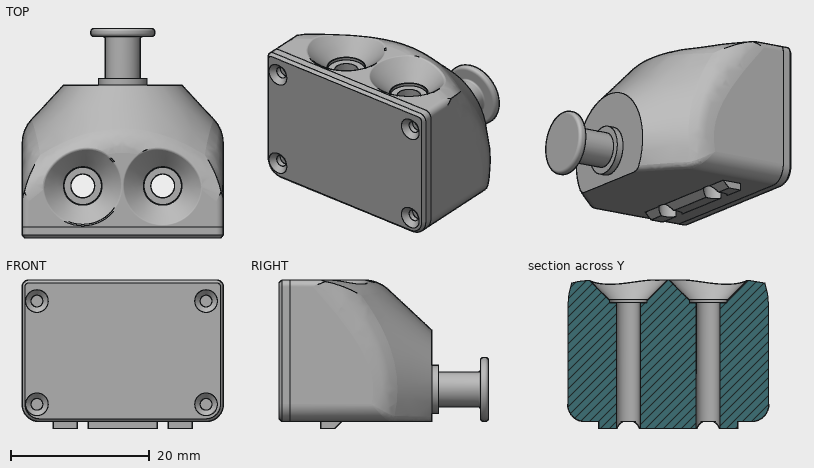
import cadquery as cq
import math

width = 29.0
height = 20.42
cover_thickness = 1.6
nose_y = 22.02
top_corner_radius = 1.0
bottom_corner_radius = 2.5
cover_chamfer = 0.42

plunger_axis_z = 4.65
nose_end_radius = 8.55
nose_half_angle = 43.0
nose_blend_radius = 5.13
nose_underside_fillet = 1.0

screw_spacing = 24.35
screw_middle_x = -0.18
upper_screw_z = height - 3.05
lower_screw_z = bottom_corner_radius
screw_hole_radius = 0.85
screw_sink_radius = 1.63

mount_hole_spacing = 11.5
mount_hole_y = 7.52
mount_hole_radius = 1.7
funnel_bottom_radius = 2.78
funnel_top_radius = 5.62
funnel_depth = 2.85
funnel_rim_fillet = 0.3
rim_drop = 0.9
seat_radius = 2.7
seat_depth = 0.42

key_length = 20.05
key_height = 1.0
key_back_y = 6.0
key_foot_width = 2.02

collar_radius = 3.5
collar_length = 1.0
rod_radius = 2.55
flange_radius = 4.62
flange_thickness = 1.2
flange_edge_fillet = 0.48
rod_root_fillet = 0.25
plunger_end_y = 30.2

selection_margin = 0.3
funnel_overshoot = 1.5


def sharp_block(start_y, end_y):
    """Square-edged block with the width and height of the housing."""
    block = cq.Workplane("XY").box(width, end_y - start_y, height, centered=(True, False, False))
    return block.translate((0, start_y, 0))


def section_bar(start_y, end_y):
    """Bar along Y with the outer section of the housing, its long edges rounded."""
    return (
        sharp_block(start_y, end_y)
        .edges("|Y and >Z")
        .fillet(top_corner_radius)
        .edges("|Y and <Z")
        .fillet(bottom_corner_radius)
    )


def y_cylinder(radius, start_y, end_y, x=0.0, z=plunger_axis_z):
    """Cylinder along Y."""
    return cq.Workplane("XZ", origin=(x, start_y, z)).circle(radius).extrude(start_y - end_y)


def z_cylinder(radius, bottom_z, top_z, x, y):
    """Cylinder along Z."""
    return cq.Workplane("XY", origin=(x, y, bottom_z)).circle(radius).extrude(top_z - bottom_z)


def make_nosed_shell():
    """Block with a conical nose, blended into the sides and top, with rounded long edges."""
    nose_length = nose_y - cover_thickness
    nose_base_radius = nose_end_radius + nose_length * math.tan(math.radians(nose_half_angle))
    nose = cq.Solid.makeCone(
        nose_base_radius,
        nose_end_radius,
        nose_length,
        pnt=cq.Vector(0, cover_thickness, plunger_axis_z),
        dir=cq.Vector(0, 1, 0),
    )
    shell = sharp_block(cover_thickness, nose_y).intersect(cq.Workplane(nose))

    above_underside = cq.selectors.BoxSelector(
        (-width, cover_thickness, selection_margin), (width, nose_y, height + selection_margin)
    )
    shell = shell.edges("%HYPERBOLA").edges(above_underside).fillet(nose_blend_radius)
    shell = shell.intersect(section_bar(cover_thickness, nose_y))

    on_underside = cq.selectors.BoxSelector(
        (-width, cover_thickness, -selection_margin), (width, nose_y, selection_margin)
    )
    return shell.edges("%HYPERBOLA").edges(on_underside).fillet(nose_underside_fillet)


def make_key():
    """Cross key under the housing; its +Y side is a 45 degree ramp."""
    foot_front_y = key_back_y + key_foot_width
    return (
        cq.Workplane("YZ", origin=(-key_length / 2, 0, 0))
        .moveTo(key_back_y, 0)
        .lineTo(key_back_y, -key_height)
        .lineTo(foot_front_y, -key_height)
        .lineTo(foot_front_y + key_height, 0)
        .close()
        .extrude(key_length)
    )


def make_funnel(x):
    """Cutter for the conical mouth of a mounting hole, carried on past the top face."""
    slope = (funnel_top_radius - funnel_bottom_radius) / funnel_depth
    return cq.Workplane(
        cq.Solid.makeCone(
            funnel_bottom_radius,
            funnel_top_radius + slope * funnel_overshoot,
            funnel_depth + funnel_overshoot,
            pnt=cq.Vector(x, mount_hole_y, height - funnel_depth),
        )
    )


def cut_mount_hole(body, x):
    """Cut one mounting hole: funnel with a rounded rim, shallow seat and through hole."""
    body = body.cut(make_funnel(x))
    rim_box = cq.selectors.BoxSelector(
        (x - funnel_top_radius, mount_hole_y - funnel_top_radius, height - rim_drop),
        (x + funnel_top_radius, mount_hole_y + funnel_top_radius, height + rim_drop),
    )
    body = body.edges(rim_box).edges("not %LINE").fillet(funnel_rim_fillet)
    funnel_bottom_z = height - funnel_depth
    seat = z_cylinder(seat_radius, funnel_bottom_z - seat_depth, height, x, mount_hole_y)
    hole = z_cylinder(mount_hole_radius, -key_height, height, x, mount_hole_y)
    return body.cut(seat).cut(hole)


def screw_positions():
    """X and Z of the four cover screws."""
    columns = (screw_middle_x - screw_spacing / 2, screw_middle_x + screw_spacing / 2)
    return [(x, z) for x in columns for z in (lower_screw_z, upper_screw_z)]


def make_housing():
    """Nosed shell with the key underneath and two mounting holes."""
    body = make_nosed_shell().union(make_key())
    for x in (-mount_hole_spacing / 2, mount_hole_spacing / 2):
        body = cut_mount_hole(body, x)
    return body


def make_cover():
    """Rear plate with a chamfered outer rim and four countersunk screw holes."""
    plate = section_bar(0, cover_thickness).faces("<Y").chamfer(cover_chamfer)
    sink_depth = screw_sink_radius - screw_hole_radius
    for x, z in screw_positions():
        sink = cq.Solid.makeCone(
            screw_sink_radius, screw_hole_radius, sink_depth, pnt=cq.Vector(x, 0, z), dir=cq.Vector(0, 1, 0)
        )
        plate = plate.cut(cq.Workplane(sink)).cut(y_cylinder(screw_hole_radius, 0, cover_thickness, x, z))
    return plate


def make_collar():
    """Ring standing on the end face of the housing, around the plunger rod."""
    collar_end_y = nose_y + collar_length
    return y_cylinder(collar_radius, nose_y, collar_end_y).cut(y_cylinder(rod_radius, nose_y, collar_end_y))


def make_plunger():
    """Rod with a rounded flange at its outer end."""
    flange_y = plunger_end_y - flange_thickness
    flange = y_cylinder(flange_radius, flange_y, plunger_end_y).edges("%CIRCLE").fillet(flange_edge_fillet)
    plunger = flange.union(y_cylinder(rod_radius, nose_y, flange_y))
    root = cq.selectors.BoxSelector(
        (-rod_radius, flange_y - rod_root_fillet, 0), (rod_radius, flange_y + rod_root_fillet, height)
    )
    return plunger.edges(root).edges(cq.selectors.RadiusNthSelector(0)).fillet(rod_root_fillet)


housing = make_housing()
cover = make_cover()
collar = make_collar()
plunger = make_plunger()

result = cq.Compound.makeCompound([housing.val(), cover.val(), collar.val(), plunger.val()])